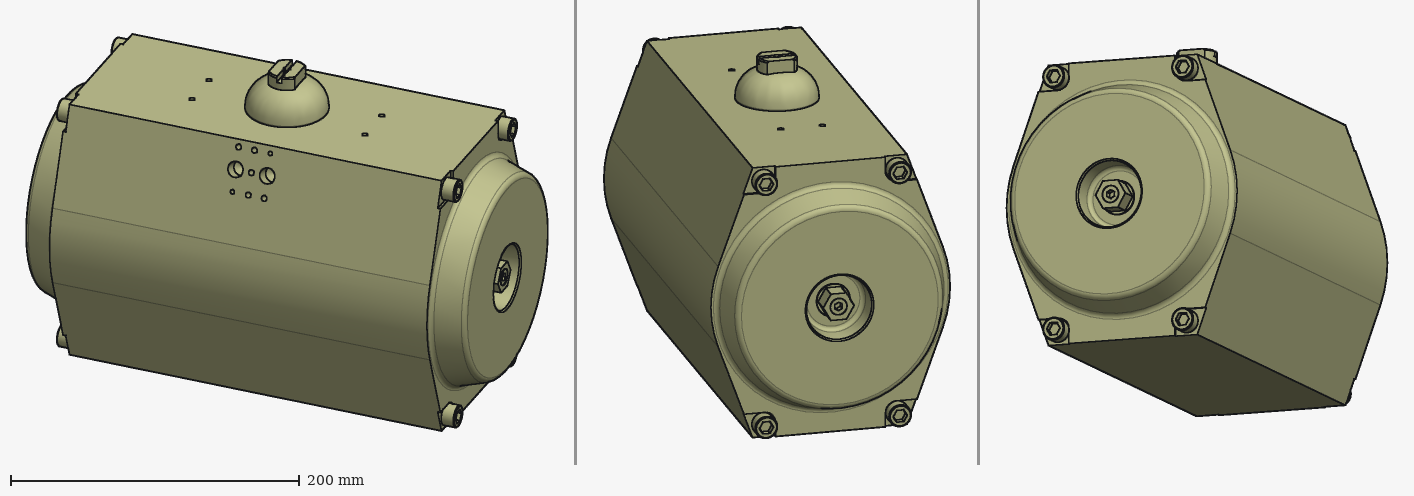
import cadquery as cq
import math

overall_length = 332.0
body_width = 171.5
body_height = 197.5
top_face_z = body_height / 2
shaft_rise = 30.5
top_of_shaft_z = top_face_z + shaft_rise
side_angle = 20.0

plate_face_x = 142.0
cap_face_x = overall_length / 2
cap_cone_root_radius = 81.5
cap_cone_tip_radius = 73.7
cap_root_fillet = 4.0
cap_tip_fillet = 4.3

recess_mouth_diameter = 49.0
recess_wall_diameter = 46.8
recess_bottom_diameter = 44.0
recess_depth = 17.3
recess_floor_fillet = 3.3
washer_diameter = 24.0
washer_thickness = 1.0
nut_flats = 19.3
nut_height = 15.0
stop_screw_diameter = 12.0
stop_screw_setback = 0.3
stop_screw_socket_flats = 5.3
stop_screw_socket_depth = 5.0

bolt_spacing_y = 96.0
bolt_y = bolt_spacing_y / 2
bolt_z = 89.0
bolt_head_diameter = 16.0
bolt_head_height = 9.5
bolt_head_chamfer = 0.5
bolt_socket_flats = 8.5
bolt_socket_depth = 5.0
bolt_seat_depth = 2.0
bolt_seat_radius = 8.5

dome_diameter = 58.5
dome_rim_height = 1.0
dome_height = 21.5
shaft_diameter = 28.0
shaft_flats = 20.0
shaft_chamfer = 1.0
shaft_slot_width = 3.5
shaft_slot_depth = 4.3
shaft_hole_diameter = 5.0
shaft_hole_depth = 8.3

drill_point_angle = 118.0

top_hole_diameter = 4.0
top_hole_spacing_x = 130.0
top_hole_spacing_y = 30.0
top_hole_depth = 10.0

valve_center_z = 78.7
port_diameter = 11.3
port_spacing = 24.0
port_depth = 11.3
valve_hole_diameter = 4.0
valve_pin_diameter = 3.0
valve_row_offset = 16.0
valve_hole_depth = 10.0

overlap = 1.5

tilt_sin = math.sin(math.radians(side_angle))
tilt_cos = math.cos(math.radians(side_angle))
side_radius = body_width / 2


def flat_side_y(z):
    """Distance from the XZ plane to the tilted flat side at height z above the axis."""
    return (side_radius - z * tilt_sin) / tilt_cos


def both_ends(solid):
    """The solid together with its mirror image at the other end."""
    return solid.union(solid.mirror("YZ"))


def drilled_hole(plane, x, y, diameter, depth):
    """Cutter for a blind hole with a conical drill point, sunk into the plane."""
    radius = diameter / 2
    tip_length = radius / math.tan(math.radians(drill_point_angle / 2))
    profile = (
        cq.Workplane("XZ")
        .polyline([(0, overlap), (radius, overlap), (radius, -depth), (0, -depth - tip_length)])
        .close()
        .revolve(360, (0, 0), (0, 1))
    )
    place = cq.Location(plane) * cq.Location(cq.Vector(x, y, 0))
    return cq.Workplane(profile.val().located(place))


def make_housing():
    """Extruded body with tilted flats running tangentially into round sides."""
    corner_y = flat_side_y(top_face_z)
    tangent_y = side_radius * tilt_cos
    tangent_z = side_radius * tilt_sin
    return (
        cq.Workplane("YZ")
        .moveTo(-corner_y, top_face_z)
        .lineTo(corner_y, top_face_z)
        .lineTo(tangent_y, tangent_z)
        .threePointArc((side_radius, 0), (tangent_y, -tangent_z))
        .lineTo(corner_y, -top_face_z)
        .lineTo(-corner_y, -top_face_z)
        .lineTo(-tangent_y, -tangent_z)
        .threePointArc((-side_radius, 0), (-tangent_y, tangent_z))
        .close()
        .extrude(plate_face_x, both=True)
    )


def make_cap():
    """Tapered round cap on the +X end, blended into the end plate."""
    flange_x = plate_face_x - overlap
    cap = (
        cq.Workplane("XY")
        .polyline([
            (flange_x, 0),
            (flange_x, side_radius),
            (plate_face_x, side_radius),
            (plate_face_x, cap_cone_root_radius),
            (cap_face_x, cap_cone_tip_radius),
            (cap_face_x, 0),
        ])
        .close()
        .revolve(360, (0, 0), (1, 0))
    )
    second_largest = cq.selectors.RadiusNthSelector(-2)
    cap = cap.faces(">X").edges().fillet(cap_tip_fillet)
    return cap.edges("%CIRCLE").edges(second_largest).fillet(cap_root_fillet)


def end_plane(x):
    """Workplane facing +X at the given x, with local X along +Y and local Y along +Z."""
    return cq.Workplane("YZ", origin=(x, 0, 0))


def hexagon(plane, flats, height):
    """Hexagonal prism with two corners on the local X axis."""
    return plane.polygon(6, flats / math.cos(math.pi / 6)).extrude(height)


def make_recess():
    """Cutter for the tapered recess, with a chamfered mouth and a rounded floor edge."""
    floor_x = cap_face_x - recess_depth
    mouth_radius = recess_mouth_diameter / 2
    wall_radius = recess_wall_diameter / 2
    recess = (
        cq.Workplane("XY")
        .polyline([
            (floor_x, 0),
            (floor_x, recess_bottom_diameter / 2),
            (cap_face_x - (mouth_radius - wall_radius), wall_radius),
            (cap_face_x, mouth_radius),
            (cap_face_x, 0),
        ])
        .close()
        .revolve(360, (0, 0), (1, 0))
    )
    return recess.faces("<X").edges().fillet(recess_floor_fillet)


def make_stop_bolt():
    """Washer, nut and socketed set screw standing on the recess floor."""
    floor_x = cap_face_x - recess_depth
    nut_face_x = floor_x + nut_height
    screw_face_x = nut_face_x - stop_screw_setback
    washer_plane = end_plane(floor_x - overlap)
    washer = washer_plane.circle(washer_diameter / 2).extrude(overlap + washer_thickness)
    nut = hexagon(end_plane(floor_x), nut_flats, nut_height)
    screw_gap = end_plane(screw_face_x).circle(stop_screw_diameter / 2).extrude(stop_screw_setback)
    socket = hexagon(end_plane(screw_face_x), stop_screw_socket_flats, -stop_screw_socket_depth)
    socket = socket.rotate((0, 0, 0), (1, 0, 0), 90)
    return washer.union(nut).cut(screw_gap).cut(socket)


def make_bolt_seat(side, level):
    """Corner step in the end plate, rounded concentrically with the bolt."""
    size = side_radius
    seat = (
        end_plane(plate_face_x - bolt_seat_depth)
        .rect(size, size)
        .extrude(2 * bolt_seat_depth)
        .edges("|X and <Y and <Z")
        .fillet(bolt_seat_radius)
        .translate((0, bolt_y - bolt_seat_radius + size / 2, bolt_z - bolt_seat_radius + size / 2))
    )
    if side < 0:
        seat = seat.mirror("XZ")
    if level < 0:
        seat = seat.mirror("XY")
    return seat


def make_bolt_head(side, level):
    """Chamfered cylindrical screw head with a hexagonal socket."""
    seat_x = plate_face_x - bolt_seat_depth
    head_plane = end_plane(seat_x - overlap).center(side * bolt_y, level * bolt_z)
    head = head_plane.circle(bolt_head_diameter / 2).extrude(overlap + bolt_head_height)
    head = head.faces(">X").chamfer(bolt_head_chamfer)
    socket_plane = end_plane(seat_x + bolt_head_height).center(side * bolt_y, level * bolt_z)
    return head.cut(hexagon(socket_plane, bolt_socket_flats, -bolt_socket_depth))


def make_indicator():
    """Rounded dome carrying a slotted shaft with two flats."""
    dome = (
        cq.Workplane("XY", origin=(0, 0, top_face_z - overlap))
        .circle(dome_diameter / 2)
        .extrude(overlap + dome_height)
        .faces(">Z")
        .edges()
        .fillet(dome_height - dome_rim_height)
    )
    shaft = (
        cq.Workplane("XY", origin=(0, 0, top_face_z))
        .circle(shaft_diameter / 2)
        .extrude(shaft_rise)
        .faces(">Z")
        .chamfer(shaft_chamfer)
    )
    flat_stock = cq.Workplane("XY").rect(shaft_flats, shaft_diameter).extrude(top_of_shaft_z)
    shaft = shaft.intersect(flat_stock)
    top_plane = cq.Workplane("XY", origin=(0, 0, top_of_shaft_z))
    slot = top_plane.rect(shaft_slot_width, shaft_diameter).extrude(-shaft_slot_depth)
    hole = drilled_hole(top_plane.plane, 0, 0, shaft_hole_diameter, shaft_hole_depth)
    return dome.union(shaft).cut(slot).cut(hole)


def drill_top_holes(part):
    plane = cq.Plane(origin=(0, 0, top_face_z))
    for x in (-top_hole_spacing_x / 2, top_hole_spacing_x / 2):
        for y in (-top_hole_spacing_y / 2, top_hole_spacing_y / 2):
            part = part.cut(drilled_hole(plane, x, y, top_hole_diameter, top_hole_depth))
    return part


def drill_valve_interface(part):
    """Two ports with screw and pin holes, square to the upper front flat."""
    plane = cq.Plane(
        origin=(0, -flat_side_y(valve_center_z), valve_center_z),
        xDir=(1, 0, 0),
        normal=(0, -tilt_cos, tilt_sin),
    )
    for column in (-1, 0, 1):
        for row in (-1, 0, 1):
            is_port = row == 0 and column != 0
            is_pin = row * column == 1
            diameter = valve_hole_diameter
            depth = valve_hole_depth
            if is_port:
                diameter = port_diameter
                depth = port_depth
            elif is_pin:
                diameter = valve_pin_diameter
            x = column * port_spacing / 2
            y = row * valve_row_offset
            part = part.cut(drilled_hole(plane, x, y, diameter, depth))
    return part


corners = [(side, level) for side in (-1, 1) for level in (-1, 1)]

housing = make_housing()
result = housing.union(both_ends(make_cap()))
result = result.cut(both_ends(make_recess()))
result = result.union(both_ends(make_stop_bolt()))
for side, level in corners:
    result = result.cut(both_ends(make_bolt_seat(side, level)))
    result = result.union(both_ends(make_bolt_head(side, level)))
result = result.union(make_indicator())
result = drill_top_holes(result)
result = drill_valve_interface(result)